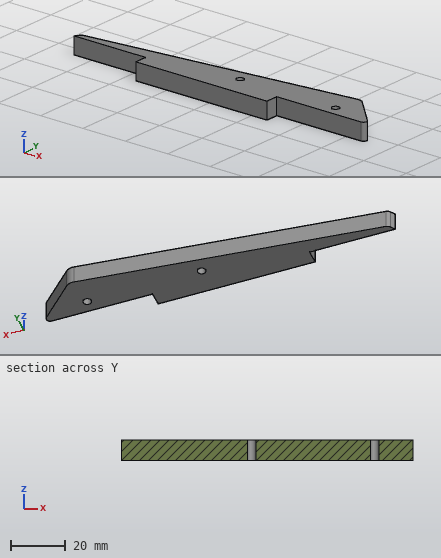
import cadquery as cq
import math

length = 136.9
thickness = 7.5
total_width = 22.5

tab_start = 33.8
tab_end = 95.7

tail_corner = (1.8, 2.6)
peak_height = 17.0
nose_radius = 1.5
peak_radius = 4.1
tail_radius = 2.0

nose_x = length + nose_radius * math.sqrt(2)
peak_corner = (nose_x - peak_height, peak_height)

hole_diameter = 3.1
hole_height = 5.0
hole_positions = [(74.3, hole_height), (119.4, hole_height)]


def round_corner(body, corner, radius):
    """Round the upright edge nearest to an outline corner."""
    x, y = corner
    edge = cq.selectors.NearestToPointSelector((x, y, thickness / 2))
    return body.edges("|Z").edges(edge).fillet(radius)


blade = (
    cq.Workplane("XY")
    .polyline([(0, 0), (nose_x, 0), peak_corner, tail_corner])
    .close()
    .extrude(thickness)
)
blade = round_corner(blade, (nose_x, 0), nose_radius)
blade = round_corner(blade, peak_corner, peak_radius)
blade = round_corner(blade, tail_corner, tail_radius)

tab_depth = total_width - blade.val().BoundingBox().ymax

tab_overlap = 1.4
tab = (
    cq.Workplane("XY")
    .moveTo(tab_start, -tab_depth)
    .lineTo(tab_end, -tab_depth)
    .lineTo(tab_end, tab_overlap)
    .lineTo(tab_start, tab_overlap)
    .close()
    .extrude(thickness)
)

holes = (
    cq.Workplane("XY")
    .pushPoints(hole_positions)
    .circle(hole_diameter / 2)
    .extrude(thickness)
)

result = blade.union(tab).cut(holes)